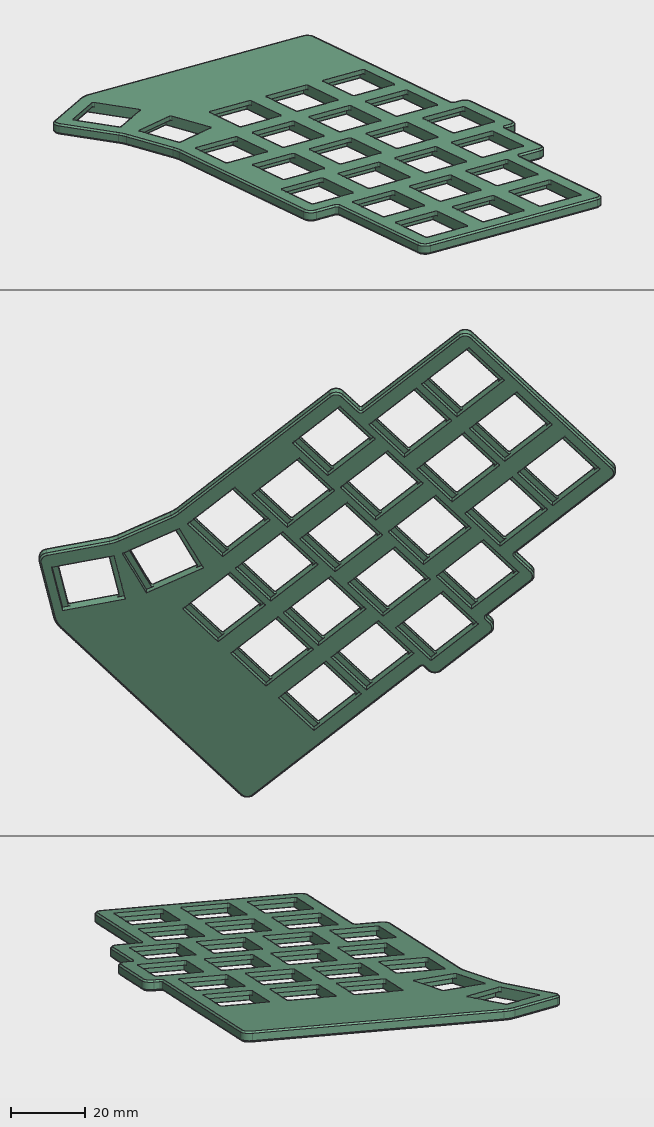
import cadquery as cq
import math

plate_length = 143.5
thickness = 3.0

corner_radius = 5.0 / 2
step_radius = 0.5
left_bend_radius = 7.2
lower_bend_radius = 9.3
edge_chamfer = 0.5

blank_width = 30.0
column_count = 6
main_rows = 4
web = 5.0
rim = 4.5
pitch = (plate_length - blank_width - rim + web) / column_count
tab_rise = pitch / 4
wing_rise = pitch / 2
tab_column = 2
last_main_column = 3

cutout = pitch - web
cutout_corner_radius = 0.5
lip_thickness = 1.3
relief_reach = 1.6

rim_distance = cutout / 2 + rim
first_x = blank_width + cutout / 2
first_y = rim_distance

columns = [
    (1, 3, 0),
    (0, 3, 0),
    (0, 3, tab_rise),
    (0, 3, 0),
    (0, 2, wing_rise),
    (0, 2, wing_rise),
]

inner_thumb = (34.7, 8.6, 15)
outer_thumb = (15.2, 0.5, 30)


def thumb_slope(thumb):
    """Slope of the plate edge running below a thumb switch."""
    return math.tan(math.radians(thumb[2]))


def thumb_point(thumb, along, across):
    """Point at a local offset from a thumb switch centre, in plate coordinates."""
    x, y, tilt = thumb
    c = math.cos(math.radians(tilt))
    s = math.sin(math.radians(tilt))
    return (x + along * c - across * s, y + along * s + across * c)


def thumb_edge_height(thumb, x):
    """Height at x of the plate edge running below a thumb switch."""
    edge_x, edge_y = thumb_point(thumb, 0, -rim_distance)
    return edge_y + (x - edge_x) * thumb_slope(thumb)


def plate_outline():
    """Corners of the plate, counterclockwise, each with its rounding radius."""
    main_top = (main_rows - 1) * pitch + 2 * rim_distance
    main_right = first_x + last_main_column * pitch + rim_distance
    tab_x = first_x + tab_column * pitch
    tab_left = tab_x - rim_distance
    tab_right = tab_x + rim_distance
    tab_top = main_top + tab_rise
    wing_bottom = wing_rise
    wing_top = main_top - wing_rise

    thumb_x, thumb_y = thumb_point(outer_thumb, -rim_distance, -rim_distance)
    left_bend_y = thumb_y + thumb_x / thumb_slope(outer_thumb)

    edge_gap = thumb_edge_height(inner_thumb, 0) - thumb_edge_height(outer_thumb, 0)
    joint_x = edge_gap / (thumb_slope(outer_thumb) - thumb_slope(inner_thumb))
    joint_y = thumb_edge_height(inner_thumb, joint_x)
    base_x = -thumb_edge_height(inner_thumb, 0) / thumb_slope(inner_thumb)

    return [
        (0, left_bend_y, left_bend_radius),
        (thumb_x, thumb_y, corner_radius),
        (joint_x, joint_y, lower_bend_radius),
        (base_x, 0, lower_bend_radius),
        (main_right, 0, corner_radius),
        (main_right, wing_bottom, step_radius),
        (plate_length, wing_bottom, corner_radius),
        (plate_length, wing_top, corner_radius),
        (main_right, wing_top, step_radius),
        (main_right, main_top, corner_radius),
        (tab_right, main_top, step_radius),
        (tab_right, tab_top, corner_radius),
        (tab_left, tab_top, corner_radius),
        (tab_left, main_top, step_radius),
        (0, main_top, corner_radius),
    ]


def plate_body():
    """Solid plate with rounded corners and chamfered top and bottom edges."""
    corners = plate_outline()
    points = [(x, y) for x, y, radius in corners]
    body = cq.Workplane("XY").polyline(points).close().extrude(thickness)
    for x, y, radius in corners:
        at_corner = cq.selectors.NearestToPointSelector((x, y, thickness / 2))
        body = body.edges("|Z").edges(at_corner).fillet(radius)
    return body.faces("<Z or >Z").edges().chamfer(edge_chamfer)


def switch_cutter(x, y, tilt=0):
    """Square opening through the plate, widened along its own X beneath the clip lips."""
    opening = cq.Workplane("XY").rect(cutout, cutout).extrude(thickness)
    opening = opening.edges("|Z").fillet(cutout_corner_radius)
    relief_width = cutout + 2 * relief_reach
    relief = cq.Workplane("XY").rect(relief_width, cutout).extrude(thickness - lip_thickness)
    cutter = opening.union(relief)
    return cutter.rotate((0, 0, 0), (0, 0, 1), tilt).translate((x, y, 0))


result = plate_body()

for column, (first_row, last_row, stagger) in enumerate(columns):
    for row in range(first_row, last_row + 1):
        switch_x = first_x + column * pitch
        switch_y = first_y + row * pitch + stagger
        result = result.cut(switch_cutter(switch_x, switch_y))

for thumb in (inner_thumb, outer_thumb):
    result = result.cut(switch_cutter(*thumb))